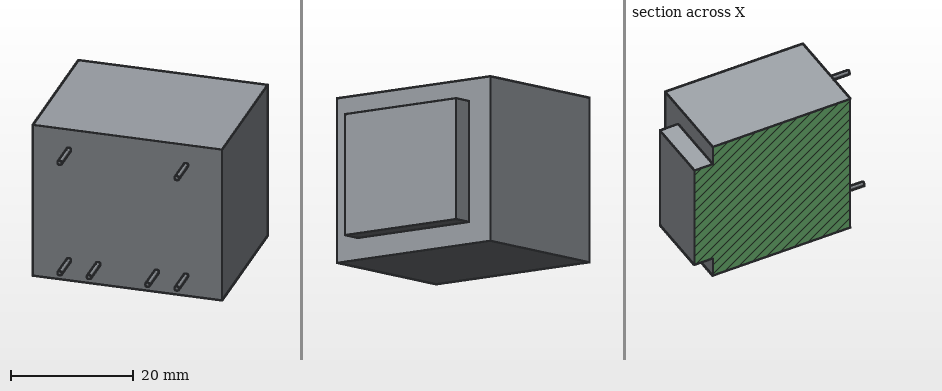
import cadquery as cq

body_width = 32.3
body_depth = 25.65
body_height = 27.3

plate_width = 23.4
plate_height = 20.05
plate_thickness = 3.42

pin_diameter = 0.8
pin_length = 5.13
pin_pitch = 5.0
pin_row_z = 2 * pin_pitch
upper_pin_columns = (-2, 2)
lower_pin_columns = (-2, -1, 1, 2)


def make_body():
    return cq.Workplane("XY").box(body_width, body_depth, body_height, centered=(True, False, True))


def make_plate():
    plate = cq.Workplane("XY").box(plate_width, plate_thickness, plate_height, centered=(True, False, True))
    return plate.translate((0, body_depth, 0))


def make_pins():
    upper_row = [(column * pin_pitch, pin_row_z) for column in upper_pin_columns]
    lower_row = [(column * pin_pitch, -pin_row_z) for column in lower_pin_columns]
    return cq.Workplane("XZ").pushPoints(upper_row + lower_row).circle(pin_diameter / 2).extrude(pin_length)


result = make_body().union(make_plate()).union(make_pins())